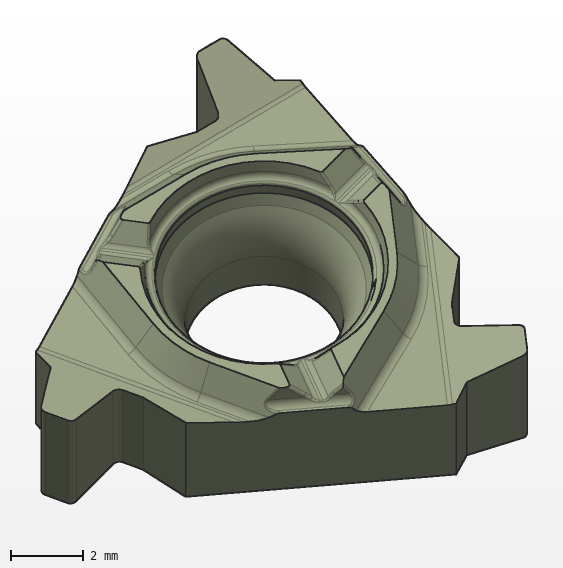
import cadquery as cq
import math

STEP_ANGLE = 120.0
TURNS = (0.0, STEP_ANGLE, 2 * STEP_ANGLE)

CLEARANCE = 0.27
PICK_MARGIN = 0.01

TOP_Z = 4.2
FLOOR_Z = TOP_Z - 0.82
LEDGE_Z = TOP_Z - 0.53
GROOVE_Z = TOP_Z - 0.48

SIDE_DISTANCE = 4.75
HEEL_X = 0.07
LEAD_Y = -4.88
LEAD_ANGLE = 30.0
TOOTH_X = -3.17
TIP_Y = -6.99
TIP_HALF_WIDTH = 0.49
FLANK_ANGLE = 15.0
TIP_RADIUS = 0.2
ROOT_Y = -5.1
ROOT_END_X = -1.39
ROOT_RADIUS = 0.25

LAND_START = 4.7
LAND_ANGLE = 15.0
LAND_BLEND_RADIUS = 0.55
LAND_OUTER = 7.49
LAND_FOOT_MARGIN = 0.14
LAND_X_MIN = -SIDE_DISTANCE - CLEARANCE
LAND_X_MAX = 1.9

BOSS_TOP_RADIUS = 3.7
BOSS_DRAFT = 40.0
BOSS_ARC_START = -2.0
BOSS_ARC_END = 30.0
BOSS_BLEND_RADIUS = 0.34
BLANK_SIZE = 19.07

GROOVE_DIRECTION = -45.0
GROOVE_HALF_WIDTH = 0.75
GROOVE_ANGLE = 38.0
GROOVE_OFFSET = -0.05
GROOVE_BLEND_RADIUS = 0.27
GROOVE_START = 2.45
GROOVE_LENGTH = 4.09

LEDGE_DISTANCE = 4.47
LEDGE_WALL_ANGLE = 70.0
LEDGE_BLEND_RADIUS = 0.27
LEDGE_WIDTH = 1.36
LEDGE_HALF_LENGTH = 4.09
SIDE_DIRECTION = -60.0

CORNER_RADIUS = 0.11
MOUTH_CORNER_RADIUS = 0.08
CORNER_CLIMB = 0.08

HOLE_RADIUS = 4.4 / 2
MOUTH_RADIUS = 3.45
MOUTH_FOOT_RADIUS = 3.32
MOUTH_FOOT_DEPTH = 0.3
RING_RADIUS = 3.12
BORE_RADIUS = 3.02
BORE_DEPTH = 0.94
SEAT_RADIUS = 2.83
SEAT_TOP_DEPTH = 1.25
SEAT_BOTTOM_DEPTH = 2.8


def tan_deg(angle):
    return math.tan(math.radians(angle))


def polar(radius, angle):
    turn = math.radians(angle)
    return (radius * math.cos(turn), radius * math.sin(turn))


def rotated(point, angle):
    """Plan point turned about the hole axis."""
    x, y = point
    return polar(math.hypot(x, y), math.degrees(math.atan2(y, x)) + angle)


def about_axis(body, angle):
    return body.rotate((0, 0, 0), (0, 0, 1), angle)


def make_outline():
    """Straight-walled prism of the plan outline with rounded tips and roots."""
    flank = tan_deg(FLANK_ANGLE)
    tip_left = (TOOTH_X - TIP_HALF_WIDTH, TIP_Y)
    tip_right = (TOOTH_X + TIP_HALF_WIDTH, TIP_Y)
    lead_slope = tan_deg(LEAD_ANGLE)
    rise = LEAD_Y - lead_slope * (tip_left[0] + SIDE_DISTANCE) - TIP_Y
    root_height = rise / (1 - lead_slope * flank)
    root_left = (tip_left[0] - root_height * flank, TIP_Y + root_height)
    root_right = (tip_right[0] + (ROOT_Y - TIP_Y) * flank, ROOT_Y)
    normal_x, normal_y = polar(1, SIDE_DIRECTION)
    heel = (HEEL_X, (SIDE_DISTANCE - HEEL_X * normal_x) / normal_y)
    tooth = [
        (-SIDE_DISTANCE, LEAD_Y),
        root_left,
        tip_left,
        tip_right,
        root_right,
        (ROOT_END_X, ROOT_Y),
        heel,
    ]
    points = [rotated(point, turn) for turn in TURNS for point in tooth]
    prism = cq.Workplane("XY").polyline(points).close().extrude(TOP_Z)

    def round_edges(body, corner, radius):
        for turn in TURNS:
            x, y = rotated(corner, turn)
            edge = cq.selectors.NearestToPointSelector((x, y, TOP_Z / 2))
            body = body.edges(edge).fillet(radius)
        return body

    prism = round_edges(prism, tip_left, TIP_RADIUS)
    prism = round_edges(prism, tip_right, TIP_RADIUS)
    return round_edges(prism, root_right, ROOT_RADIUS)


def make_boss_on_plate():
    """Plate with the drafted boss: three arcs joined by nearly square corners, blended at the foot."""
    height = TOP_Z - FLOOR_Z
    radius = BOSS_TOP_RADIUS + height * tan_deg(BOSS_DRAFT)
    next_start = BOSS_ARC_START + STEP_ANGLE
    arc_middle = (BOSS_ARC_START + BOSS_ARC_END) / 2
    corner = (BOSS_ARC_END + next_start) / 2
    corner_radius = radius / math.cos(math.radians(next_start - corner))
    wire = cq.Workplane("XY").workplane(offset=FLOOR_Z).moveTo(*polar(radius, BOSS_ARC_START))
    for turn in TURNS:
        wire = wire.threePointArc(polar(radius, turn + arc_middle), polar(radius, turn + BOSS_ARC_END))
        wire = wire.lineTo(*polar(corner_radius, turn + corner))
        wire = wire.lineTo(*polar(radius, turn + next_start))
    boss = wire.close().extrude(height, taper=BOSS_DRAFT)
    plate = cq.Workplane("XY").rect(BLANK_SIZE, BLANK_SIZE).extrude(FLOOR_Z)
    foot = cq.selectors.BoxSelector(
        (-corner_radius, -corner_radius, FLOOR_Z - PICK_MARGIN),
        (corner_radius, corner_radius, FLOOR_Z + PICK_MARGIN),
    )
    return plate.union(boss).edges(foot).fillet(BOSS_BLEND_RADIUS)


def make_tooth_land():
    """Wedge rising outward to the bottom tooth tip, blended into the corner land."""
    outer_z = FLOOR_Z + (LAND_OUTER - LAND_START) * tan_deg(LAND_ANGLE)
    foot_y = LAND_FOOT_MARGIN - LAND_START
    profile = [
        (foot_y, 0),
        (foot_y, FLOOR_Z),
        (-LAND_START, FLOOR_Z),
        (-LAND_OUTER, outer_z),
        (-LAND_OUTER, 0),
    ]
    wedge = cq.Workplane("YZ").workplane(offset=LAND_X_MIN).polyline(profile).close()
    wedge = wedge.extrude(LAND_X_MAX - LAND_X_MIN)
    middle_x = (LAND_X_MIN + LAND_X_MAX) / 2
    crease = cq.selectors.NearestToPointSelector((middle_x, -LAND_START, FLOOR_Z))
    return wedge.edges(crease).fillet(LAND_BLEND_RADIUS)


def make_groove():
    """Radial V groove with a narrow, rounded bottom."""
    slope = tan_deg(GROOVE_ANGLE)
    top_half = GROOVE_HALF_WIDTH + CLEARANCE / slope
    bottom_half = GROOVE_HALF_WIDTH - (TOP_Z - GROOVE_Z) / slope
    top_z = TOP_Z + CLEARANCE
    profile = [(-top_half, top_z), (-bottom_half, GROOVE_Z), (bottom_half, GROOVE_Z), (top_half, top_z)]
    groove = cq.Workplane("YZ").workplane(offset=GROOVE_START).polyline(profile).close()
    groove = groove.extrude(GROOVE_LENGTH)
    groove = groove.faces("<Z").edges("|X").fillet(GROOVE_BLEND_RADIUS)
    groove = groove.translate((0, GROOVE_OFFSET, 0))
    return about_axis(groove, GROOVE_DIRECTION)


def make_ledge():
    """Cutter for the ledge along one side wall, with a leaning, blended inner wall."""
    top_z = TOP_Z + CLEARANCE
    wall_top = LEDGE_DISTANCE - (top_z - LEDGE_Z) / tan_deg(LEDGE_WALL_ANGLE)
    outer = LEDGE_DISTANCE + LEDGE_WIDTH
    profile = [(wall_top, top_z), (LEDGE_DISTANCE, LEDGE_Z), (outer, LEDGE_Z), (outer, top_z)]
    ledge = cq.Workplane("XZ").polyline(profile).close().extrude(LEDGE_HALF_LENGTH, both=True)
    foot = cq.selectors.NearestToPointSelector((LEDGE_DISTANCE, 0, LEDGE_Z))
    return about_axis(ledge.edges(foot).fillet(LEDGE_BLEND_RADIUS), SIDE_DIRECTION)


def make_hole():
    """Through hole with a curved screw seat, a bore and a flared mouth."""
    ring_blend = RING_RADIUS - BORE_RADIUS
    seat_height = SEAT_BOTTOM_DEPTH - SEAT_TOP_DEPTH
    seat_step = SEAT_RADIUS - HOLE_RADIUS
    seat_arc = (seat_step**2 + seat_height**2) / (2 * seat_step)
    half_turn = math.asin(seat_height / seat_arc) / 2
    seat_middle = (
        HOLE_RADIUS + seat_arc * (1 - math.cos(half_turn)),
        TOP_Z - SEAT_BOTTOM_DEPTH + seat_arc * math.sin(half_turn),
    )
    round_middle = (
        RING_RADIUS - ring_blend * math.sqrt(0.5),
        GROOVE_Z - ring_blend * (1 - math.sqrt(0.5)),
    )
    profile = (
        cq.Workplane("XZ")
        .moveTo(0, 0)
        .lineTo(HOLE_RADIUS, 0)
        .lineTo(HOLE_RADIUS, TOP_Z - SEAT_BOTTOM_DEPTH)
        .threePointArc(seat_middle, (SEAT_RADIUS, TOP_Z - SEAT_TOP_DEPTH))
        .lineTo(BORE_RADIUS, TOP_Z - BORE_DEPTH)
        .lineTo(BORE_RADIUS, GROOVE_Z - ring_blend)
        .threePointArc(round_middle, (RING_RADIUS, GROOVE_Z))
        .tangentArcPoint((MOUTH_FOOT_RADIUS, TOP_Z - MOUTH_FOOT_DEPTH), relative=False)
        .lineTo(MOUTH_RADIUS, TOP_Z)
        .lineTo(0, TOP_Z)
        .close()
    )
    return profile.revolve(360, (0, 0, 0), (0, 1, 0))


def climbs(edge):
    """True for an edge above the ledges that spans a real height."""
    box = edge.BoundingBox()
    return box.zmin > LEDGE_Z - CORNER_RADIUS and box.zmax - box.zmin > CORNER_CLIMB


def is_ledge_corner(edge):
    """Edge climbing the inner wall of a ledge, at a groove or at the boss slope."""
    center = edge.Center()
    outward = max(
        center.dot(cq.Vector(*polar(1, SIDE_DIRECTION + turn), 0))
        for turn in TURNS
    )
    wall_top = LEDGE_DISTANCE - (TOP_Z - LEDGE_Z) / tan_deg(LEDGE_WALL_ANGLE)
    return climbs(edge) and wall_top < outward < SIDE_DISTANCE - CORNER_RADIUS


def is_mouth_corner(edge):
    """Curved edge where a groove flank meets the flared mouth of the hole."""
    center = edge.Center()
    radius = math.hypot(center.x, center.y)
    return climbs(edge) and edge.geomType() != "LINE" and RING_RADIUS < radius < MOUTH_RADIUS


body = make_boss_on_plate()
for turn in TURNS:
    body = body.union(about_axis(make_tooth_land(), turn))
body = body.intersect(make_outline())
for turn in TURNS:
    body = body.cut(about_axis(make_groove(), turn))
    body = body.cut(about_axis(make_ledge(), turn))
body = body.cut(make_hole())
body = body.edges().filter(is_ledge_corner).fillet(CORNER_RADIUS)
result = body.edges().filter(is_mouth_corner).fillet(MOUTH_CORNER_RADIUS)